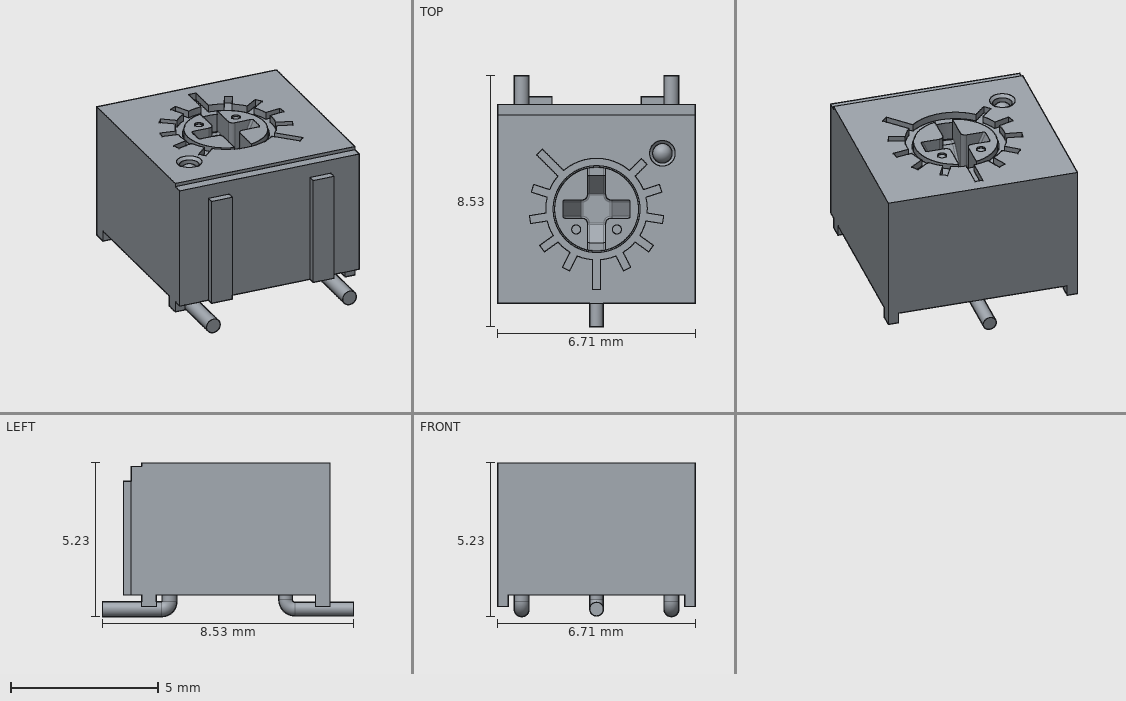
import cadquery as cq
import math


width = 6.71
main_depth = 6.4
height = 4.495
ledge_depth = 0.36
ledge_drop = 0.12
back_y = main_depth / 2 + ledge_depth

foot_width = 0.37
foot_depth = 0.5
foot_height = 0.38

pad_width = 0.78
pad_inner_x = 1.51
pad_thickness = 0.265
pad_height = 3.87

dial_radius = 1.72
dial_depth = 0.26
mark_count = 11
mark_first_angle = -225.0
mark_step = 27.0
mark_width = 0.27
short_mark_radius = 2.29
long_mark_radius = 2.74
long_mark_indices = (0, 5)

bore_radius = 1.475
rotor_radius = 1.425
rotor_height = 0.16
dial_floor_z = height - dial_depth
rotor_top_z = dial_floor_z + rotor_height

slot_width = 0.62
slot_corner_radius = 0.17
socket_top_half = 1.14
socket_floor_half = 0.5
socket_depth = 1.47
notch_depth = 0.82
socket_floor_fillet = 0.07

dimple_radius = 0.15
dimple_offset = 0.69
dimple_depth = 0.06

dome_hole_x = 2.235
dome_hole_y = 1.89
dome_radius = 0.33
countersink_radius = 0.435
dome_center_depth = 0.44

back_pin_x = 2.54
back_pin_diameter = 0.51
back_pin_axis_y = 2.25
back_pin_end_y = 4.53
back_pin_bottom_z = -0.73
back_pin_bend_radius = 0.265
front_pin_diameter = 0.47
front_pin_axis_y = -1.69
front_pin_end_y = -4.0
front_pin_bottom_z = -0.71
front_pin_bend_radius = 0.32


def box(x_min, x_max, y_min, y_max, z_min, z_max):
    """Axis-aligned box between two opposite corners."""
    size = (x_max - x_min, y_max - y_min, z_max - z_min)
    return cq.Workplane("XY").box(*size, centered=False).translate((x_min, y_min, z_min))


def make_housing():
    half_width = width / 2
    front_y = -main_depth / 2
    housing = box(-half_width, half_width, front_y, -front_y, 0, height)
    ledge = box(-half_width, half_width, -front_y, back_y, 0, height - ledge_drop)
    housing = housing.union(ledge)
    for side in (-1, 1):
        for end in (-1, 1):
            foot = cq.Workplane("XY").box(foot_width, foot_depth, foot_height, centered=(True, True, False))
            foot_x = side * (width - foot_width) / 2
            foot_y = end * (main_depth - foot_depth) / 2
            housing = housing.union(foot.translate((foot_x, foot_y, -foot_height)))
        pad = cq.Workplane("XY").box(pad_width, pad_thickness, pad_height, centered=(True, False, False))
        pad_x = side * (pad_inner_x + pad_width / 2)
        housing = housing.union(pad.translate((pad_x, back_y, 0)))
    return housing


def make_dial_cutter():
    """Round recess joined with its radial marks, two of which are long."""
    cutter = cq.Workplane("XY").circle(dial_radius).extrude(dial_depth)
    for index in range(mark_count):
        is_long = index in long_mark_indices
        length = long_mark_radius if is_long else short_mark_radius
        mark = cq.Workplane("XY").box(length, mark_width, dial_depth, centered=(False, True, False))
        angle = mark_first_angle + mark_step * index
        cutter = cutter.union(mark.rotate((0, 0, 0), (0, 0, 1), angle))
    return cutter.translate((0, 0, dial_floor_z))


def make_rotor_bore():
    bore_floor_z = rotor_top_z - notch_depth
    plane = cq.Workplane("XY").workplane(offset=bore_floor_z)
    return plane.circle(bore_radius).extrude(height - bore_floor_z)


def make_rotor():
    plane = cq.Workplane("XY").workplane(offset=rotor_top_z - notch_depth)
    return plane.circle(rotor_radius).extrude(notch_depth)


def make_arm(profile):
    """Extrude an arm profile, drawn along X with the rotor top at zero, to the slot width."""
    return cq.Workplane("XZ").polyline(profile).close().extrude(slot_width / 2, both=True)


def make_socket_cutter():
    """Cross slot: all arms ramp down to a flat floor, two of them from a notch through the rim."""
    blind_arm = make_arm([
        (-socket_top_half, 0),
        (socket_top_half, 0),
        (socket_floor_half, -socket_depth),
        (-socket_floor_half, -socket_depth),
    ])
    notched_arm = make_arm([
        (-dial_radius, 0),
        (dial_radius, 0),
        (dial_radius, -notch_depth),
        (socket_top_half, -notch_depth),
        (socket_floor_half, -socket_depth),
        (-socket_floor_half, -socket_depth),
        (-socket_top_half, -notch_depth),
        (-dial_radius, -notch_depth),
    ]).rotate((0, 0, 0), (0, 0, 1), 90)
    bore = cq.Workplane("XY").circle(bore_radius).extrude(-socket_depth)
    socket = blind_arm.union(notched_arm.intersect(bore))

    center_box = cq.selectors.BoxSelector(
        (-slot_width, -slot_width, -socket_depth), (slot_width, slot_width, 0)
    )
    socket = socket.edges("|Z").edges(center_box).fillet(slot_corner_radius)
    margin = socket_floor_fillet / 2

    floor_edges = cq.selectors.StringSyntaxSelector("not(|Z or >Z)")
    for y in (-socket_top_half, socket_top_half):
        notch_edge = cq.selectors.BoxSelector(
            (-margin, y - margin, -notch_depth - margin), (margin, y + margin, -notch_depth + margin)
        )
        floor_edges = floor_edges - notch_edge
    socket = socket.edges(floor_edges).fillet(socket_floor_fillet)
    return socket.translate((0, 0, rotor_top_z))


def make_dimple_cutter():
    points = [(-dimple_offset, -dimple_offset), (dimple_offset, -dimple_offset)]
    plane = cq.Workplane("XY").workplane(offset=rotor_top_z - dimple_depth)
    return plane.pushPoints(points).circle(dimple_radius).extrude(dimple_depth)


def make_dome_hole_cutter():
    """Revolved profile: 45 degree countersink, straight wall, convex hemispherical bottom."""
    countersink_depth = countersink_radius - dome_radius
    arc_mid = dome_radius * math.sqrt(0.5)
    profile = (
        cq.Workplane("XZ")
        .moveTo(0, 0)
        .lineTo(countersink_radius, 0)
        .lineTo(dome_radius, -countersink_depth)
        .lineTo(dome_radius, -dome_center_depth)
        .threePointArc((arc_mid, arc_mid - dome_center_depth), (0, dome_radius - dome_center_depth))
        .close()
    )
    cutter = profile.revolve(360, (0, 0), (0, 1))
    return cutter.translate((dome_hole_x, dome_hole_y, height))


def make_pin(x, axis_y, end_y, bottom_z, diameter, bend_radius):
    """Round wire leaving the underside and bending outwards to lie flat."""
    direction = math.copysign(1, end_y)
    level_z = bottom_z + diameter / 2
    bend_z = level_z + bend_radius
    bend_y = axis_y + direction * bend_radius
    bend_mid_y = bend_y - direction * bend_radius * math.sqrt(0.5)
    bend_mid_z = bend_z - bend_radius * math.sqrt(0.5)
    path = (
        cq.Workplane("YZ", origin=(x, 0, 0))
        .moveTo(axis_y, 0)
        .lineTo(axis_y, bend_z)
        .threePointArc((bend_mid_y, bend_mid_z), (bend_y, level_z))
        .lineTo(end_y, level_z)
    )
    return cq.Workplane("XY", origin=(x, axis_y, 0)).circle(diameter / 2).sweep(path)


result = make_housing().cut(make_dial_cutter()).cut(make_rotor_bore()).union(make_rotor())
result = result.cut(make_socket_cutter()).cut(make_dimple_cutter()).cut(make_dome_hole_cutter())
for side in (-1, 1):
    back_pin = make_pin(
        side * back_pin_x, back_pin_axis_y, back_pin_end_y,
        back_pin_bottom_z, back_pin_diameter, back_pin_bend_radius,
    )
    result = result.union(back_pin)
front_pin = make_pin(
    0, front_pin_axis_y, front_pin_end_y,
    front_pin_bottom_z, front_pin_diameter, front_pin_bend_radius,
)
result = result.union(front_pin)